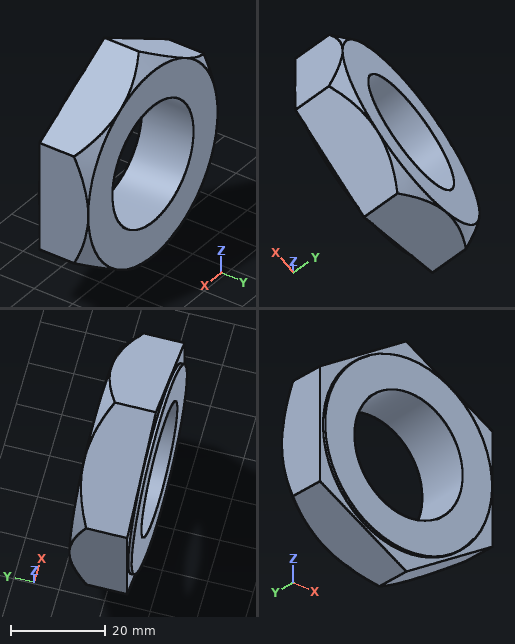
import cadquery as cq
import math

across_flats = 47.625
total_height = 13.46
bore_diameter = 29.8
washer_face_diameter = 46.0
washer_face_height = 0.76
chamfer_angle = 45.0

across_corners = across_flats / math.cos(math.radians(30))
corner_radius = across_corners / 2
flat_radius = across_flats / 2
chamfer_drop = (corner_radius - flat_radius) * math.tan(math.radians(chamfer_angle))


def along_y(start):
    """Workplane at Y = start whose extrusions run toward +Y."""
    plane = cq.Plane(origin=(0, start, 0), xDir=(0, 0, 1), normal=(0, 1, 0))
    return cq.Workplane(plane)


def hexagon_body():
    body_height = total_height - washer_face_height
    return along_y(washer_face_height).polygon(6, across_corners).extrude(body_height)


def chamfer_envelope():
    """Turned blank whose cone trims the hexagon corners at the +Y end."""
    profile = [
        (0, washer_face_height),
        (corner_radius, washer_face_height),
        (corner_radius, total_height - chamfer_drop),
        (flat_radius, total_height),
        (0, total_height),
    ]
    return cq.Workplane("XY").polyline(profile).close().revolve(360, (0, 0, 0), (0, 1, 0))


def washer_face():
    return along_y(0).circle(washer_face_diameter / 2).extrude(washer_face_height)


def bore():
    return along_y(0).circle(bore_diameter / 2).extrude(total_height)


result = hexagon_body().intersect(chamfer_envelope()).union(washer_face()).cut(bore())